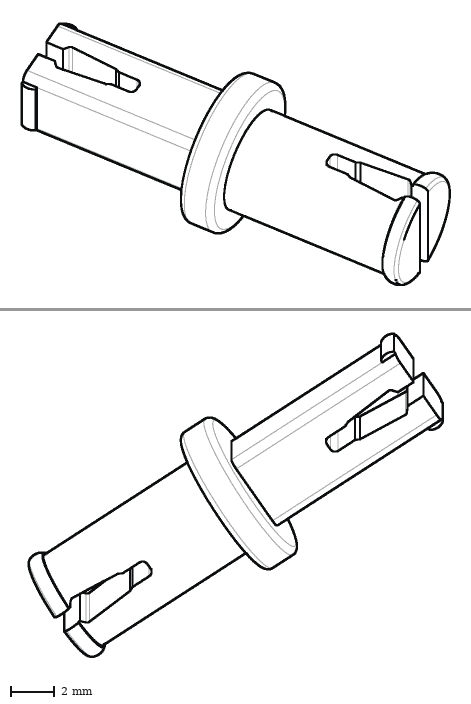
import cadquery as cq
import math

LENGTH = 20.0
FLANGE_DIAMETER = 7.5
FLANGE_WIDTH = 1.72
FLANGE_FILLET = 0.3
SHAFT_DIAMETER = 5.0
RIM_DIAMETER = 5.5
RIM_WIDTH = 0.8
RIM_CROWN = 0.15
RIM_CORNER_LENGTH = 0.15
RIM_CORNER_HEIGHT = 0.18
BAR_SIZE = 3.8
BAR_CORNER_RADIUS = 0.4
RIDGE_WIDTH = 0.75
RIDGE_HEIGHT = 0.25
RIDGE_CROWN = 0.12

SLOT_DEPTH = 5.0
SLOT_HALF_WIDTH = 0.4
SLOT_BULGE_HALF_WIDTH = 0.7
MOUTH_LENGTH = 0.88
BULGE_START = 1.12
TAPER_END = 3.6
TAPER_END_HALF_WIDTH = 0.5
NARROW_START = 3.8
SLOT_END_FILLET = 0.25
BULGE_FILLET = 0.15

END_X = LENGTH / 2
FLANGE_X = FLANGE_WIDTH / 2


def disc(start_x, diameter, width):
    """Cylinder along +X starting at start_x."""
    return cq.Workplane("YZ", origin=(start_x, 0, 0)).circle(diameter / 2).extrude(width)


def flange():
    """Central collar with rounded rims."""
    return disc(-FLANGE_X, FLANGE_DIAMETER, FLANGE_WIDTH).edges().fillet(FLANGE_FILLET)


def snap_rim():
    """Ring with a crowned outer surface and a rounded outer end corner."""
    start_x = END_X - RIM_WIDTH
    crown_x = END_X - RIM_WIDTH / 2
    corner_x = END_X - RIM_CORNER_LENGTH
    crown_radius = RIM_DIAMETER / 2
    arc_radius = ((RIM_WIDTH / 2) ** 2 + RIM_CROWN**2) / (2 * RIM_CROWN)
    corner_drop = arc_radius - math.sqrt(arc_radius**2 - (corner_x - crown_x) ** 2)
    corner_radius = crown_radius - corner_drop
    profile = (
        cq.Workplane("XY")
        .moveTo(start_x, 0)
        .lineTo(start_x, crown_radius - RIM_CROWN)
        .threePointArc((crown_x, crown_radius), (corner_x, corner_radius))
        .tangentArcPoint((END_X, corner_radius - RIM_CORNER_HEIGHT), relative=False)
        .lineTo(END_X, 0)
        .close()
    )
    return profile.revolve(360, (0, 0, 0), (1, 0, 0))


def round_arm():
    """Cylindrical shaft with a snap rim at its end."""
    return disc(0, SHAFT_DIAMETER, END_X).union(snap_rim())


def square_arm():
    """Square bar with rounded long edges and a crowned snap ridge on each Y side."""
    bar = cq.Workplane("XY").box(END_X, BAR_SIZE, BAR_SIZE).edges("|X").fillet(BAR_CORNER_RADIUS)
    bar = bar.translate((-END_X / 2, 0, 0))
    ridge_length = BAR_SIZE - 2 * BAR_CORNER_RADIUS
    crown_y = BAR_SIZE / 2 + RIDGE_HEIGHT
    edge_y = crown_y - RIDGE_CROWN
    inner_x = RIDGE_WIDTH - END_X
    crown_x = RIDGE_WIDTH / 2 - END_X
    ridges = (
        cq.Workplane("XY")
        .moveTo(-END_X, -edge_y)
        .lineTo(-END_X, edge_y)
        .threePointArc((crown_x, crown_y), (inner_x, edge_y))
        .lineTo(inner_x, -edge_y)
        .threePointArc((crown_x, -crown_y), (-END_X, -edge_y))
        .close()
        .extrude(ridge_length / 2, both=True)
    )
    return bar.union(ridges)


def slot_cutter():
    """Slot through Z at the +X end: narrow mouth, rounded bulge, taper and rounded bottom."""
    half_outline = [
        (0, SLOT_HALF_WIDTH),
        (MOUTH_LENGTH, SLOT_HALF_WIDTH),
        (BULGE_START, SLOT_BULGE_HALF_WIDTH),
        (TAPER_END, TAPER_END_HALF_WIDTH),
        (NARROW_START, SLOT_HALF_WIDTH),
        (SLOT_DEPTH, SLOT_HALF_WIDTH),
    ]
    upper = [(END_X - depth, half_width) for depth, half_width in half_outline]
    lower = [(x, -y) for x, y in reversed(upper)]
    cutter = cq.Workplane("XY").polyline(upper + lower).close().extrude(FLANGE_DIAMETER / 2, both=True)
    cutter = cutter.edges("|Z and <X").fillet(SLOT_END_FILLET)
    return cutter.edges("|Z and (<Y or >Y)").fillet(BULGE_FILLET)


slot = slot_cutter()
opposite_slot = slot.mirror("YZ")
result = flange().union(round_arm()).union(square_arm()).cut(slot).cut(opposite_slot)